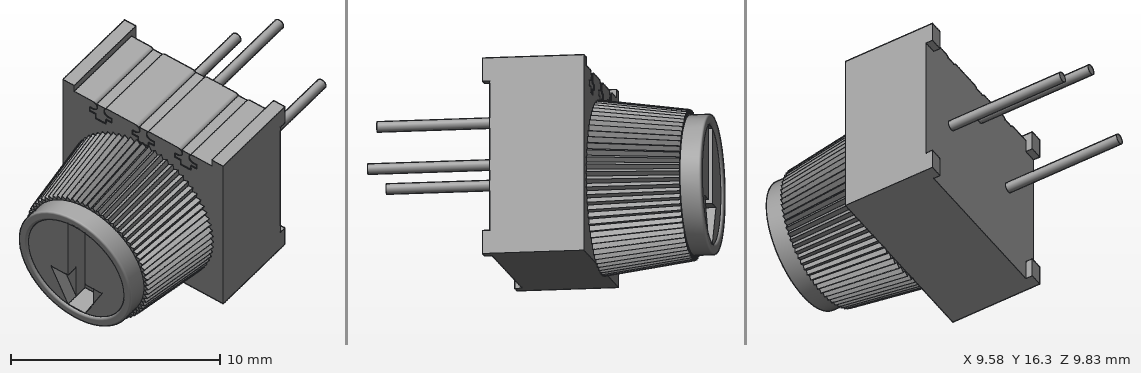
import cadquery as cq
import math


body_width = 9.58
body_top = 5.60
body_bottom = -3.93
body_depth = 4.57
foot_length = 0.36
foot_width = 0.68
foot_height = 1.13
rail_height = 0.40
deck_z = body_top - rail_height

pin_pitch = 2.54
pin_diameter = 0.52
pin_root_y = body_depth / 2
pin_tip_y = 10.87
pin_low_z = 0.81
pin_high_z = pin_low_z + pin_pitch
pin_places = [(-pin_pitch, pin_low_z), (0, pin_high_z), (pin_pitch, pin_low_z)]

lip_radius = 0.265
lip_center_x = 0.47
arm_half_width = 0.65
arm_height = 0.26
stem_half_width = 0.31
stem_height = 0.30
plug_drop = 0.10
plug_setback = 0.05

tooth_count = 72
knob_length = 4.42
knob_base_radius = 4.225
knob_tip_radius = 3.62
root_ratio = 0.945

cap_radius = 3.37
cap_length = 1.02
cap_edge_radius = 0.10
cap_end_y = -(knob_length + cap_length)

dial_radius = 2.87
dial_edge_radius = 0.13
dial_depth = 0.14
dial_y = cap_end_y + dial_depth
slot_width = 1.02
slot_depth = 1.36
slot_half_length = math.sqrt(dial_radius**2 - (slot_width / 2) ** 2)
arrow_half_width = 1.52
arrow_top_z = -0.83
arrow_depth = 0.65


def front_plane(y):
    """XZ plane at the given Y; extrusions from it run toward +Y."""
    return cq.Workplane(cq.Plane(origin=(0, y, 0), xDir=(1, 0, 0), normal=(0, -1, 0)))


def box(x_range, y_range, z_range):
    """Box between the given limits on each axis."""
    size = [high - low for low, high in (x_range, y_range, z_range)]
    corner = (x_range[0], y_range[0], z_range[0])
    return cq.Workplane("XY").box(*size, centered=False).translate(corner)


def make_housing():
    """Block with a rail on each side of the top and a foot at each rear corner."""
    half_width = body_width / 2
    inner_half = half_width - foot_width
    housing = box((-half_width, half_width), (0, body_depth), (body_bottom, body_top))
    foot_x_ranges = [(-half_width, -inner_half), (inner_half, half_width)]
    foot_z_ranges = [(body_bottom, body_bottom + foot_height), (body_top - foot_height, body_top)]
    for x_range in foot_x_ranges:
        for z_range in foot_z_ranges:
            foot = box(x_range, (body_depth, body_depth + foot_length), z_range)
            housing = housing.union(foot)
    return housing.cut(box((-inner_half, inner_half), (0, body_depth), (deck_z, body_top)))


def make_keyway(x, length):
    """Cross-shaped keyway with rounded lips, running back from the front face."""
    lip_mid_z = deck_z - lip_radius
    shoulder_z = deck_z - 2 * lip_radius
    arm_bottom_z = shoulder_z - arm_height
    stem_bottom_z = arm_bottom_z - stem_height
    neck_half = lip_center_x - lip_radius
    return (
        front_plane(0)
        .moveTo(x - lip_center_x, deck_z)
        .threePointArc((x - neck_half, lip_mid_z), (x - lip_center_x, shoulder_z))
        .lineTo(x - arm_half_width, shoulder_z)
        .lineTo(x - arm_half_width, arm_bottom_z)
        .lineTo(x - stem_half_width, arm_bottom_z)
        .lineTo(x - stem_half_width, stem_bottom_z)
        .lineTo(x + stem_half_width, stem_bottom_z)
        .lineTo(x + stem_half_width, arm_bottom_z)
        .lineTo(x + arm_half_width, arm_bottom_z)
        .lineTo(x + arm_half_width, shoulder_z)
        .lineTo(x + lip_center_x, shoulder_z)
        .threePointArc((x + neck_half, lip_mid_z), (x + lip_center_x, deck_z))
        .close()
        .extrude(-length)
    )


def cut_keyways(housing):
    """Open each keyway above its plug and in front of it; the plug fills the rest."""
    for x, _ in pin_places:
        x_range = (x - lip_center_x, x + lip_center_x)
        above_plug = box(x_range, (0, body_depth), (deck_z - plug_drop, deck_z))
        housing = housing.cut(make_keyway(x, plug_setback))
        housing = housing.cut(make_keyway(x, body_depth).intersect(above_plug))
    return housing


def make_pins():
    """Three round pins rooted inside the housing."""
    pin_length = pin_tip_y - pin_root_y
    return front_plane(pin_root_y).pushPoints(pin_places).circle(pin_diameter / 2).extrude(-pin_length)


def knurl_points(tip_radius):
    """Alternating tooth tips and roots around the knob axis, starting at the top."""
    half_pitch = math.pi / tooth_count
    points = []
    for i in range(2 * tooth_count):
        radius = tip_radius if i % 2 == 0 else tip_radius * root_ratio
        angle = i * half_pitch
        points.append((radius * math.sin(angle), radius * math.cos(angle)))
    return points


def make_knob():
    """Tapered knob with straight V-shaped teeth."""
    return (
        front_plane(0)
        .polyline(knurl_points(knob_base_radius))
        .close()
        .workplane(offset=knob_length)
        .polyline(knurl_points(knob_tip_radius))
        .close()
        .loft(ruled=True)
    )


def make_cap():
    """Disc with a rounded outer edge and a shallow, round-edged dial recess."""
    cap = front_plane(-knob_length).circle(cap_radius).extrude(cap_length)
    cap = cap.faces("<Y").fillet(cap_edge_radius)
    cap = cap.cut(front_plane(dial_y).circle(dial_radius).extrude(dial_depth))
    return cap.faces("<Y").edges(cq.selectors.RadiusNthSelector(0)).fillet(dial_edge_radius)


def make_dial_slot():
    """Driver slot across the dial, joined by a shallower arrowhead."""
    half_slot = slot_width / 2
    slot = box(
        (-half_slot, half_slot),
        (dial_y, dial_y + slot_depth),
        (-slot_half_length, slot_half_length),
    )
    arrow = (
        front_plane(dial_y)
        .moveTo(-arrow_half_width, arrow_top_z)
        .lineTo(arrow_half_width, arrow_top_z)
        .lineTo(half_slot, -slot_half_length)
        .lineTo(-half_slot, -slot_half_length)
        .close()
        .extrude(-arrow_depth)
    )
    return slot.union(arrow)


housing = cut_keyways(make_housing())
knob = make_knob().union(make_cap()).cut(make_dial_slot())
result = housing.union(make_pins()).union(knob)